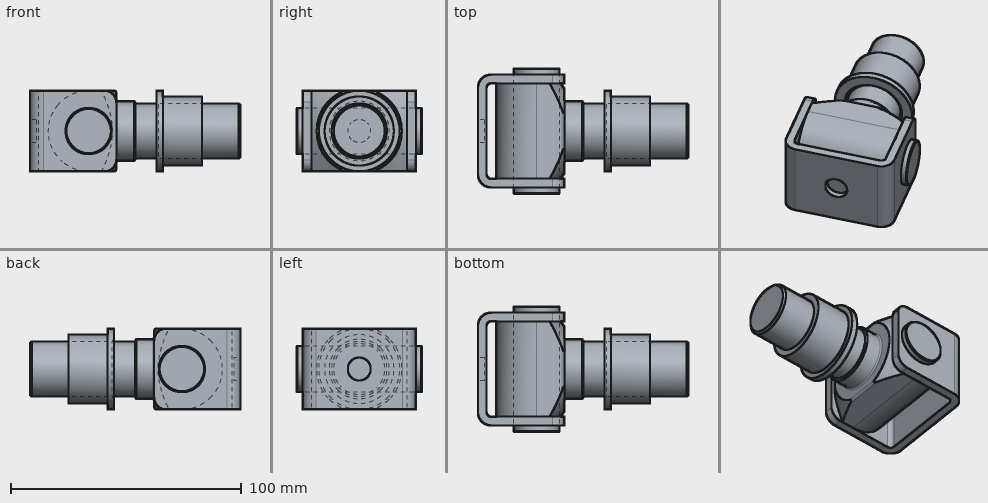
import cadquery as cq

height = 35.0
strap_length = 37.5
strap_width = 49.0
strap_wall = 3.8
bend_radius = 5.9
arm_corner_radius = 5.0
back_hole_diameter = 10.0
back_hole_depth = 2.8

pin_x = 25.5
pin_diameter = 20.0
pin_length = 54.4
pin_chamfer = 0.4

eye_width = strap_width - 2 * strap_wall
eye_radius = height / 2
eye_face_x = strap_length
eye_edge_fillet = 1.0
cone_face_radius = 18.5
cone_slope = 1.36
collar_radius = 13.0
collar_fillet = 0.6
collar_end_x = 45.3
collar_chamfer = 0.55
shank_radius = 12.0
shank_end_x = 91.5
shank_chamfer = 0.9

flange_start_x = 54.9
flange_thickness = 2.8
nut_end_x = 74.8
nut_radius = 15.0
nut_bore_chamfer = 1.0


def x_cylinder(start, end, radius):
    """Cylinder along the X axis between two X positions."""
    return cq.Workplane("YZ", origin=(start, 0, 0)).circle(radius).extrude(end - start)


def y_cylinder(radius, length):
    """Cylinder along the pin axis, centred on Y = 0."""
    return cq.Workplane("XZ", origin=(pin_x, 0, 0)).circle(radius).extrude(length / 2, both=True)


def make_clevis():
    """U-shaped strap with rounded arm ends, pin holes and a blind hole in its back."""
    outer = cq.Workplane("XY").box(strap_length, strap_width, height, centered=(False, True, True))
    outer = outer.edges("|Z and <X").fillet(bend_radius)
    outer = outer.edges("|Y and >X").fillet(arm_corner_radius)
    inner = cq.Workplane("XY", origin=(strap_wall, 0, 0)).box(
        strap_length, eye_width, height, centered=(False, True, True)
    )
    inner = inner.edges("|Z and <X").fillet(bend_radius - strap_wall)
    back_hole = x_cylinder(0, back_hole_depth, back_hole_diameter / 2)
    return outer.cut(inner).cut(back_hole).cut(y_cylinder(pin_diameter / 2, pin_length))


def make_pin():
    """Plain pin through both arms and the eye, chamfered at both ends."""
    return y_cylinder(pin_diameter / 2, pin_length).faces("<Y or >Y").chamfer(pin_chamfer)


def make_eye():
    """Eye block, round at the back and trimmed by a cone at the front."""
    block = cq.Workplane("XY", origin=(pin_x, 0, 0)).box(
        eye_face_x - pin_x, eye_width, height, centered=(False, True, True)
    )
    block = block.edges("|Y and >X").fillet(eye_edge_fillet)
    eye = block.union(y_cylinder(eye_radius, eye_width))
    back_x = pin_x - eye_radius
    cone_back_radius = cone_face_radius + cone_slope * (eye_face_x - back_x)
    cone = (
        cq.Workplane("XY")
        .polyline([(back_x, 0), (eye_face_x, 0), (eye_face_x, cone_face_radius), (back_x, cone_back_radius)])
        .close()
        .revolve(360, (0, 0, 0), (1, 0, 0))
    )
    return eye.intersect(cone)


def make_shank():
    """Round shank with a collar that flares out where it meets the eye."""
    shank_profile = (
        cq.Workplane("XY")
        .moveTo(eye_face_x, 0)
        .lineTo(eye_face_x, collar_radius + collar_fillet)
        .radiusArc((eye_face_x + collar_fillet, collar_radius), -collar_fillet)
        .lineTo(collar_end_x, collar_radius)
        .lineTo(collar_end_x + collar_chamfer, shank_radius)
        .lineTo(shank_end_x - shank_chamfer, shank_radius)
        .lineTo(shank_end_x, shank_radius - shank_chamfer)
        .lineTo(shank_end_x, 0)
        .close()
    )
    return shank_profile.revolve(360, (0, 0, 0), (1, 0, 0))


def make_eye_bolt():
    """Eye and shank in one piece, bored for the pin."""
    return make_eye().union(make_shank()).cut(y_cylinder(pin_diameter / 2, pin_length))


def make_nut():
    """Flanged sleeve fitting the shank, its bore chamfered at the flange end."""
    flange = x_cylinder(flange_start_x, flange_start_x + flange_thickness, height / 2)
    sleeve = x_cylinder(flange_start_x, nut_end_x, nut_radius)
    bore = x_cylinder(flange_start_x, nut_end_x, shank_radius)
    nut = flange.union(sleeve).cut(bore)
    return nut.faces("<X").edges("%CIRCLE").edges(cq.selectors.RadiusNthSelector(0)).chamfer(nut_bore_chamfer)


clevis = make_clevis()
pin = make_pin()
eye_bolt = make_eye_bolt()
nut = make_nut()

result = cq.Compound.makeCompound([body.solids().val() for body in (clevis, pin, eye_bolt, nut)])